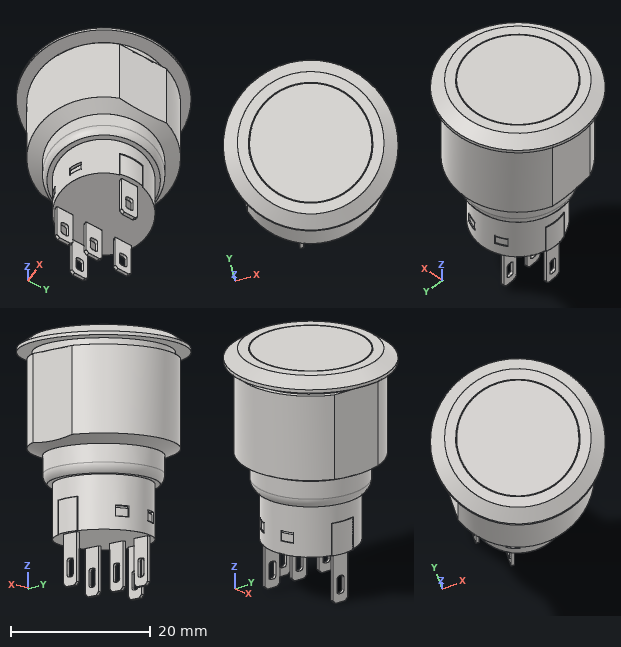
import cadquery as cq
import math

TOP_Z = 37.0
BEZEL_EDGE_Z = 35.6
BEZEL_BOTTOM_Z = 35.08
BODY_TOP_Z = 34.0
BODY_BOTTOM_Z = 21.0
CONE_BOTTOM_Z = 19.98
COLLAR_ROUND_Z = 17.25
COLLAR_BOTTOM_Z = 15.8
BASE_BOTTOM_Z = 7.75

BEZEL_R = 25.0 / 2
BEZEL_TOP_R = 10.47
NECK_R = 20.5 / 2
BODY_R = 22.0 / 2
BODY_FLAT_X = NECK_R
COLLAR_R = 17.5 / 2
COLLAR_BOTTOM_R = 8.1
BASE_R = 14.7 / 2

BUTTON_R = COLLAR_R
BUTTON_HOLE_R = 17.75 / 2
GAP_DEPTH = TOP_Z - BEZEL_BOTTOM_Z

KEY_R = 7.47
KEY_WIDTH = 3.92
KEY_TOP_Z = 12.73

WINDOW_ANGLE = 23.0
WINDOW_SPAN = 15.7
WINDOW_BOTTOM_Z = 9.73
WINDOW_TOP_Z = 11.32
LATCH_FACE_R = 7.15
LATCH_BEVEL = 0.35

BLADE_THICKNESS = 0.5
BLADE_WIDTH = 2.75
BLADE_TIP_CHAMFER = 0.48
BLADE_ROOT = 0.75
SLOT_WIDTH = 1.22
SLOT_LENGTH = 2.75
SLOT_CORNER_R = 0.4
SLOT_TIP_GAP = 2.7
OUTER_BLADE_X = 6.48
INNER_BLADE_X = -2.78
SIDE_BLADE_Y = 5.0
SHORT_TIP_Z = 0.6


def make_body():
    """Revolve the bezel, neck, body, collar and base as one profile."""
    drop = COLLAR_ROUND_Z - COLLAR_BOTTOM_Z
    inset = COLLAR_R - COLLAR_BOTTOM_R
    arc_angle = 2 * math.atan2(inset, drop)
    arc_r = drop / math.sin(arc_angle)
    arc_mid = (
        COLLAR_R - arc_r * (1 - math.cos(arc_angle / 2)),
        COLLAR_ROUND_Z - arc_r * math.sin(arc_angle / 2),
    )
    profile = (
        cq.Workplane("XZ")
        .moveTo(0, TOP_Z)
        .lineTo(BEZEL_TOP_R, TOP_Z)
        .lineTo(BEZEL_R, BEZEL_EDGE_Z)
        .lineTo(BEZEL_R, BEZEL_BOTTOM_Z)
        .lineTo(NECK_R, BEZEL_BOTTOM_Z)
        .lineTo(NECK_R, BODY_TOP_Z)
        .lineTo(BODY_R, BODY_TOP_Z)
        .lineTo(BODY_R, BODY_BOTTOM_Z)
        .lineTo(COLLAR_R, CONE_BOTTOM_Z)
        .lineTo(COLLAR_R, COLLAR_ROUND_Z)
        .threePointArc(arc_mid, (COLLAR_BOTTOM_R, COLLAR_BOTTOM_Z))
        .lineTo(BASE_R, COLLAR_BOTTOM_Z)
        .lineTo(BASE_R, BASE_BOTTOM_Z)
        .lineTo(0, BASE_BOTTOM_Z)
        .close()
    )
    return profile.revolve(360, (0, 0, 0), (0, 1, 0))


def make_flat_cutter(side):
    """Block that trims the body to a flat on the +X (side 1) or -X (side -1) side."""
    depth = BODY_R - BODY_FLAT_X
    height = BODY_TOP_Z - CONE_BOTTOM_Z
    block = cq.Workplane("XY").box(depth, 2 * BODY_R, height)
    return block.translate((side * (BODY_FLAT_X + depth / 2), 0, CONE_BOTTOM_Z + height / 2))


def make_button_gap():
    ring = cq.Workplane("XY").workplane(offset=TOP_Z - GAP_DEPTH)
    return ring.circle(BUTTON_HOLE_R).circle(BUTTON_R).extrude(GAP_DEPTH)


def make_keys():
    """Both keys: a disc around the base, kept only within the key width."""
    height = KEY_TOP_Z - BASE_BOTTOM_Z
    plane = cq.Workplane("XY").workplane(offset=BASE_BOTTOM_Z)
    disc = plane.circle(KEY_R).extrude(height)
    return disc.intersect(plane.rect(2 * KEY_R, KEY_WIDTH).extrude(height))


def make_window(angle):
    """Window centred on -Y, then turned; the latch set back in it has a bevelled top."""
    outer_r = KEY_R
    bevel_r = LATCH_FACE_R - LATCH_BEVEL
    outline = [
        (-outer_r, WINDOW_BOTTOM_Z),
        (-LATCH_FACE_R, WINDOW_BOTTOM_Z),
        (-LATCH_FACE_R, WINDOW_TOP_Z - LATCH_BEVEL),
        (-bevel_r, WINDOW_TOP_Z),
        (-outer_r, WINDOW_TOP_Z),
    ]
    pocket = cq.Workplane("YZ").polyline(outline).close().revolve(WINDOW_SPAN, (0, 0, 0), (0, 1, 0))
    return pocket.rotate((0, 0, 0), (0, 0, 1), angle - WINDOW_SPAN / 2)


def make_blade(x, y, tip_z):
    height = BASE_BOTTOM_Z + BLADE_ROOT - tip_z
    blade = (
        cq.Workplane("XY")
        .box(BLADE_THICKNESS, BLADE_WIDTH, height, centered=(True, True, False))
        .edges("|X and <Z")
        .chamfer(BLADE_TIP_CHAMFER)
    )
    slot = (
        cq.Workplane("XY")
        .box(BLADE_THICKNESS, SLOT_WIDTH, SLOT_LENGTH)
        .edges("|X")
        .fillet(SLOT_CORNER_R)
        .translate((0, 0, SLOT_TIP_GAP))
    )
    return blade.cut(slot).translate((x, y, tip_z))


result = make_body()
for side in (-1, 1):
    result = result.cut(make_flat_cutter(side))
result = result.cut(make_button_gap())
result = result.union(make_keys())

for turn in (0, 180):
    for angle in (-WINDOW_ANGLE, WINDOW_ANGLE):
        result = result.cut(make_window(turn + angle))

for x in (-OUTER_BLADE_X, OUTER_BLADE_X):
    result = result.union(make_blade(x, 0, 0))
for y in (-SIDE_BLADE_Y, 0, SIDE_BLADE_Y):
    result = result.union(make_blade(INNER_BLADE_X, y, SHORT_TIP_Z))